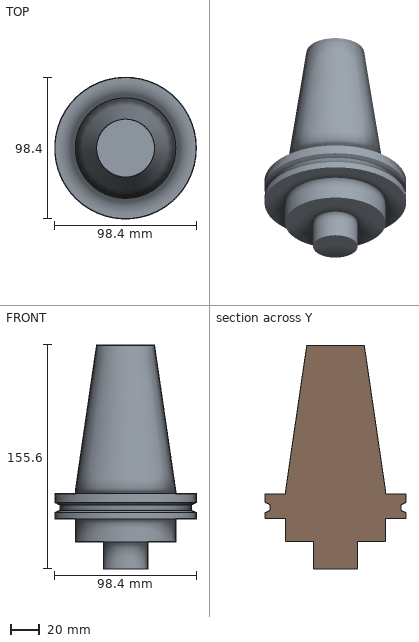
import cadquery as cq

gauge_diameter = 69.85
taper_length = 101.6
taper_ratio = 7 / 24
small_end_diameter = gauge_diameter - taper_length * taper_ratio

flange_diameter = 98.43
flange_offset = 1.5
flange_thickness = 17.55

groove_floor_diameter = 91.29
groove_floor_width = 3.75
groove_side_height = 1.65
upper_rim_height = 6.2

body_diameter = gauge_diameter
body_length = 16
pin_diameter = 31
overall_length = 155.6

flange_top = -flange_offset
flange_bottom = flange_top - flange_thickness
body_bottom = flange_bottom - body_length
pin_bottom = taper_length - overall_length


def cylinder(diameter, bottom, top):
    """Cylinder on the Z axis between two heights."""
    return cq.Workplane("XY").workplane(offset=bottom).circle(diameter / 2).extrude(top - bottom)


def taper_shank():
    """Solid cone narrowing upward from the gauge plane."""
    return (
        cq.Workplane("XZ")
        .polyline([
            (0, 0),
            (gauge_diameter / 2, 0),
            (small_end_diameter / 2, taper_length),
            (0, taper_length),
        ])
        .close()
        .revolve(360, (0, 0, 0), (0, 1, 0))
    )


def grooved_flange():
    """Flange disc with a flat-bottomed V-groove in its rim."""
    rim_radius = flange_diameter / 2
    floor_radius = groove_floor_diameter / 2
    groove_top = flange_top - upper_rim_height
    floor_top = groove_top - groove_side_height
    floor_bottom = floor_top - groove_floor_width
    groove_bottom = floor_bottom - groove_side_height
    return (
        cq.Workplane("XZ")
        .polyline([
            (0, flange_bottom),
            (rim_radius, flange_bottom),
            (rim_radius, groove_bottom),
            (floor_radius, floor_bottom),
            (floor_radius, floor_top),
            (rim_radius, groove_top),
            (rim_radius, flange_top),
            (0, flange_top),
        ])
        .close()
        .revolve(360, (0, 0, 0), (0, 1, 0))
    )


neck = cylinder(gauge_diameter, flange_top, 0)
body = cylinder(body_diameter, body_bottom, flange_bottom)
pin = cylinder(pin_diameter, pin_bottom, body_bottom)

result = taper_shank().union(neck).union(grooved_flange()).union(body).union(pin)